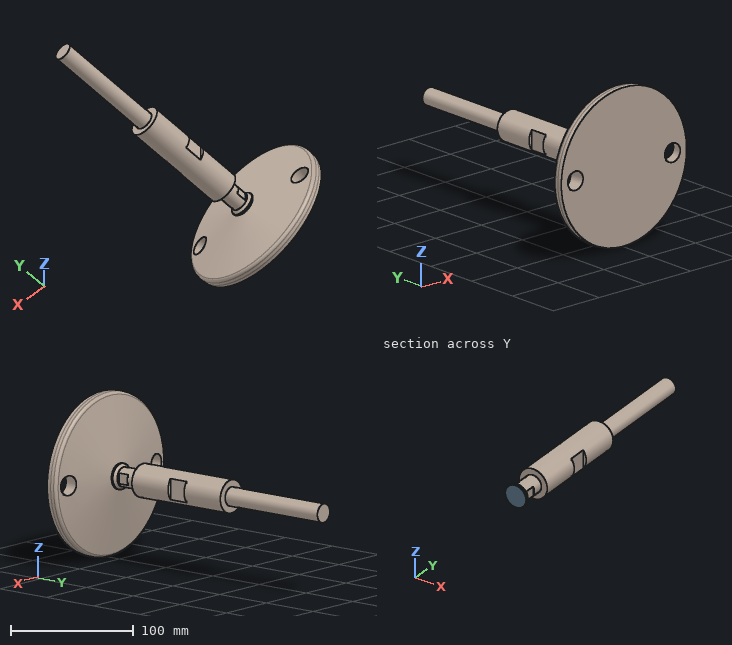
import cadquery as cq
import math

TOTAL_LENGTH = 238.0

FOOT_DIAMETER = 138.0
FLOOR_FACE_DIAMETER = 137.0
RIM_WIDEST_Y = 4.0
RIM_TOP_DIAMETER = 137.5
FOOT_HEIGHT = 19.3
FOOT_TOP_DIAMETER = 20.5
CONE_ANGLE = 9.5
SHOULDER_RADIUS = 2.9

HOLE_DIAMETER = 16.5
HOLE_OFFSET = 53.0
HOLE_CUT_LENGTH = 71.5

ROD_DIAMETER = 16.5
UPPER_ROD_DIAMETER = 16.0
COLLAR_DIAMETER = 22.0
COLLAR_BAND_BOTTOM_Y = 20.0
COLLAR_BAND_TOP_Y = 21.5
COLLAR_TOP_Y = 23.8
SLEEVE_DIAMETER = 28.0
SLEEVE_START_Y = 44.5
SLEEVE_LENGTH = 94.7

ROD_FLATS_WIDTH = 13.8
ROD_FLATS_START_Y = 24.8
ROD_FLATS_LENGTH = 9.8
SLEEVE_FLATS_WIDTH = 22.0
SLEEVE_FLATS_LENGTH = 17.1


def revolve_about_y(profile):
    """Turn a closed XY outline once around the Y axis."""
    return profile.close().revolve(360, (0, 0, 0), (0, 1, 0))


def make_foot():
    """Shallow cone with a rounded shoulder, a crowned rim and two tilted holes."""
    slope = math.radians(CONE_ANGLE)
    top_radius = FOOT_TOP_DIAMETER / 2
    rim_top_radius = RIM_TOP_DIAMETER / 2
    arc_center_x = rim_top_radius - SHOULDER_RADIUS
    arc_end_x = arc_center_x + SHOULDER_RADIUS * math.sin(slope)
    arc_end_y = FOOT_HEIGHT - (arc_end_x - top_radius) * math.tan(slope)
    arc_center_y = arc_end_y - SHOULDER_RADIUS * math.cos(slope)
    middle_angle = (math.pi / 2 - slope) / 2
    arc_middle = (
        arc_center_x + SHOULDER_RADIUS * math.cos(middle_angle),
        arc_center_y + SHOULDER_RADIUS * math.sin(middle_angle),
    )
    foot = revolve_about_y(
        cq.Workplane("XY")
        .lineTo(FLOOR_FACE_DIAMETER / 2, 0)
        .lineTo(FOOT_DIAMETER / 2, RIM_WIDEST_Y)
        .lineTo(rim_top_radius, arc_center_y)
        .threePointArc(arc_middle, (arc_end_x, arc_end_y))
        .lineTo(top_radius, FOOT_HEIGHT)
        .lineTo(0, FOOT_HEIGHT)
    )
    for side in (-1, 1):
        direction = cq.Vector(side * math.sin(slope), math.cos(slope), 0)
        start = cq.Vector(side * HOLE_OFFSET, 0, 0) - direction * (HOLE_CUT_LENGTH / 2)
        foot = foot.cut(cq.Solid.makeCylinder(HOLE_DIAMETER / 2, HOLE_CUT_LENGTH, start, direction))
    return foot


def cut_flats(body, diameter, width, start_y, length):
    """Cut a pair of parallel flats on the -X and +X sides of a round section."""
    depth = (diameter - width) / 2
    center_x = (width + depth) / 2
    for side in (-1, 1):
        cutter = cq.Workplane("XY").box(depth, length, diameter)
        body = body.cut(cutter.translate((side * center_x, start_y + length / 2, 0)))
    return body


def make_spindle():
    """Long rod with a collar resting on the foot, a thick sleeve and wrench flats."""
    rod_radius = ROD_DIAMETER / 2
    upper_rod_radius = UPPER_ROD_DIAMETER / 2
    collar_radius = COLLAR_DIAMETER / 2
    sleeve_radius = SLEEVE_DIAMETER / 2
    sleeve_end_y = SLEEVE_START_Y + SLEEVE_LENGTH
    spindle = revolve_about_y(
        cq.Workplane("XY")
        .moveTo(0, FOOT_HEIGHT)
        .lineTo(FOOT_TOP_DIAMETER / 2, FOOT_HEIGHT)
        .lineTo(collar_radius, COLLAR_BAND_BOTTOM_Y)
        .lineTo(collar_radius, COLLAR_BAND_TOP_Y)
        .lineTo(rod_radius, COLLAR_TOP_Y)
        .lineTo(rod_radius, SLEEVE_START_Y)
        .lineTo(sleeve_radius, SLEEVE_START_Y)
        .lineTo(sleeve_radius, sleeve_end_y)
        .lineTo(upper_rod_radius, sleeve_end_y)
        .lineTo(upper_rod_radius, TOTAL_LENGTH)
        .lineTo(0, TOTAL_LENGTH)
    )
    spindle = cut_flats(spindle, ROD_DIAMETER, ROD_FLATS_WIDTH, ROD_FLATS_START_Y, ROD_FLATS_LENGTH)
    sleeve_flats_start_y = SLEEVE_START_Y + (SLEEVE_LENGTH - SLEEVE_FLATS_LENGTH) / 2
    return cut_flats(
        spindle, SLEEVE_DIAMETER, SLEEVE_FLATS_WIDTH, sleeve_flats_start_y, SLEEVE_FLATS_LENGTH
    )


foot = make_foot()
spindle = make_spindle()
result = cq.Compound.makeCompound([foot.val(), spindle.val()])